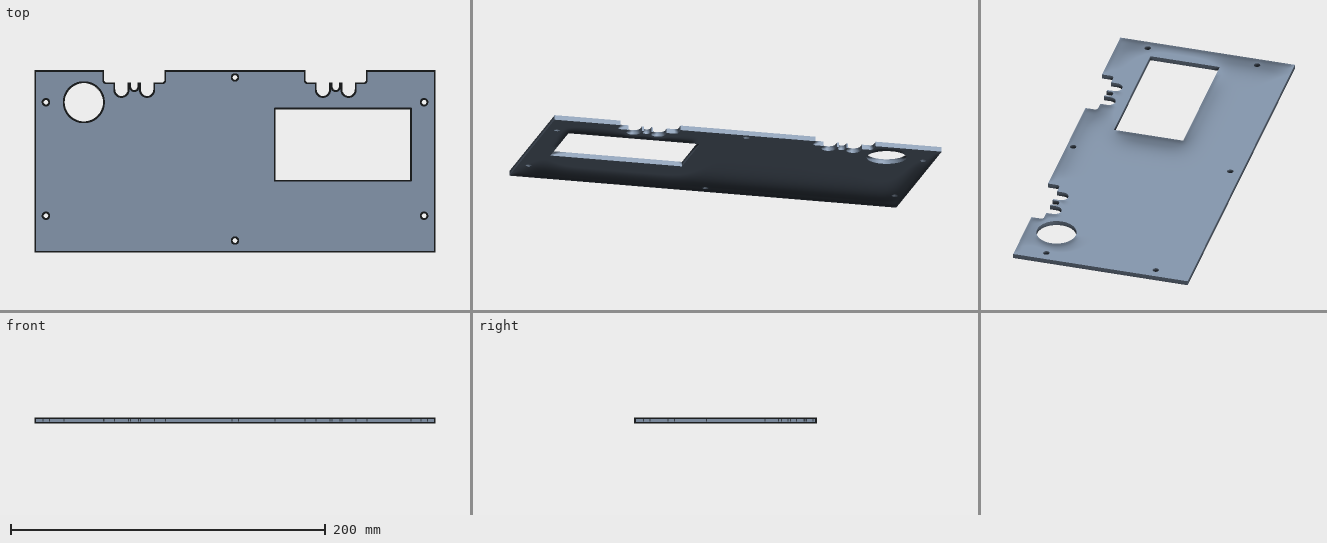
import cadquery as cq

length = 254.0
width = 115.0
thickness = 3.0
top_edge = width / 2

screw_diameter = 4.0
screw_pattern_y = 1.5
side_screw_x = 120.1
side_screw_dy = 36.0
middle_screw_dy = 51.8

round_diameter = 25.5
round_x = -96.0
round_y = screw_pattern_y + side_screw_dy

window_length = 86.4
window_width = 45.7
window_x = 68.5
window_y = 10.7

notch_x = 64.0
notch_length = 39.4
notch_depth = 8.0
notch_corner_radius = 2.0

outer_slot_width = 9.0
outer_slot_depth = 16.5
outer_slot_offset = 8.1
middle_slot_width = 4.8
middle_slot_depth = 12.7
middle_slot_corner_radius = 2.0


def edge_cut(x, cut_length, depth, corner_radius):
    """Cutter entering from the +Y edge, with rounded inner corners."""
    left = x - cut_length / 2
    right = x + cut_length / 2
    floor = top_edge - depth
    return (
        cq.Workplane("XY")
        .moveTo(left, top_edge)
        .lineTo(left, floor + corner_radius)
        .radiusArc((left + corner_radius, floor), -corner_radius)
        .lineTo(right - corner_radius, floor)
        .radiusArc((right, floor + corner_radius), -corner_radius)
        .lineTo(right, top_edge)
        .close()
        .extrude(thickness, both=True)
    )


def round_end_slot(x):
    """Cutter entering from the +Y edge, with a semicircular end."""
    radius = outer_slot_width / 2
    bottom = top_edge - outer_slot_depth
    return (
        cq.Workplane("XY")
        .moveTo(x - radius, top_edge)
        .lineTo(x - radius, bottom + radius)
        .threePointArc((x, bottom), (x + radius, bottom + radius))
        .lineTo(x + radius, top_edge)
        .close()
        .extrude(thickness, both=True)
    )


def stepped_notch(x):
    """Wide notch with a shallow middle slot between two round-ended slots."""
    return (
        edge_cut(x, notch_length, notch_depth, notch_corner_radius)
        .union(edge_cut(x, middle_slot_width, middle_slot_depth, middle_slot_corner_radius))
        .union(round_end_slot(x - outer_slot_offset))
        .union(round_end_slot(x + outer_slot_offset))
    )


screw_positions = []
for side in (-1, 1):
    screw_positions.append((0, screw_pattern_y + side * middle_screw_dy))
    for end in (-1, 1):
        screw_positions.append((end * side_screw_x, screw_pattern_y + side * side_screw_dy))

plate = cq.Workplane("XY").box(length, width, thickness)
plate = plate.faces(">Z").workplane().pushPoints(screw_positions).hole(screw_diameter)
plate = plate.faces(">Z").workplane(origin=(round_x, round_y, 0)).hole(round_diameter)

window = cq.Workplane("XY").box(window_length, window_width, 2 * thickness)
plate = plate.cut(window.translate((window_x, window_y, 0)))

for side in (-1, 1):
    plate = plate.cut(stepped_notch(side * notch_x))

result = plate